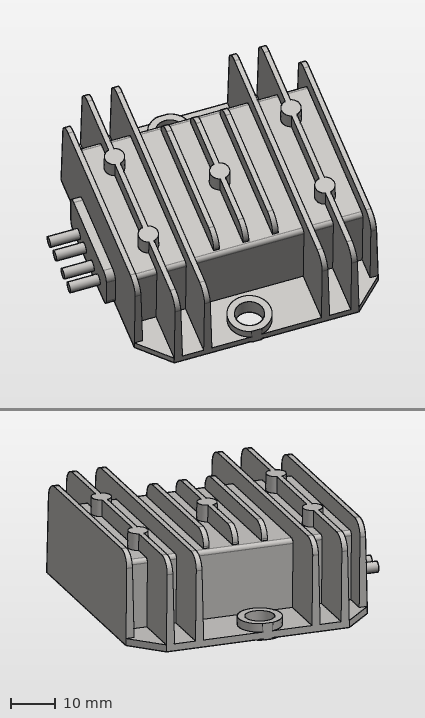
import cadquery as cq
import math

flange_length = 63.7
flange_width = 57.5
flange_thickness = 1.65
corner_chamfer = 7.0
boss_drop = 0.25
total_height = 21.9
overall_width = 66.6
draft_angle = 1.0

draft_slope = math.tan(math.radians(draft_angle))
flange_top = boss_drop + flange_thickness
front_face = -flange_width / 2

block_top = 18.0
block_base_length = 39.05
block_edge_radius = 1.0

fin_pitch = 6.9
fin_base_thickness = 2.0
fin_corner_radius = 3.5
end_fin_length = flange_length - 2 * corner_chamfer
short_fin_length = 35.6
short_fin_thickness = fin_base_thickness - 2 * (block_top - boss_drop) * draft_slope
end_fin_offset = (flange_width - fin_base_thickness) / 2

post_base_diameter = 4.65
post_offset_x = 11.45
post_offset_y = 3 * fin_pitch

boss_diameter = 10.05
boss_hole_diameter = 6.65
boss_offset_x = 26.9
boss_offset_y = -2.3
boss_top = 3.9
boss_centers = [(-boss_offset_x, boss_offset_y), (boss_offset_x, boss_offset_y)]

plate_length = 24.1
plate_height = 10.85
plate_thickness = 2.1
plate_corner_radius = 2.0
pin_diameter = 2.5
pin_length = overall_width - flange_width - plate_thickness
pin_height = boss_drop + 3.5
pin_inner_offset = 2.65
pin_outer_offset = 6.7


def make_flange():
    """Drafted octagonal plate: a rectangle with its four corners cut off."""
    half_length = flange_length / 2
    half_width = flange_width / 2
    cut_x = half_length - corner_chamfer
    cut_y = half_width - corner_chamfer
    return (
        cq.Workplane("XY", origin=(0, 0, boss_drop))
        .moveTo(-cut_x, -half_width)
        .lineTo(cut_x, -half_width)
        .lineTo(half_length, -cut_y)
        .lineTo(half_length, cut_y)
        .lineTo(cut_x, half_width)
        .lineTo(-cut_x, half_width)
        .lineTo(-half_length, cut_y)
        .lineTo(-half_length, -cut_y)
        .close()
        .extrude(flange_thickness, taper=draft_angle)
    )


def make_block():
    """Central block, drafted on its two long sides and rounded along the top."""
    half_base = block_base_length / 2
    half_top = half_base - (block_top - flange_top) * draft_slope
    return (
        cq.Workplane("XZ")
        .moveTo(-half_base, flange_top)
        .lineTo(half_base, flange_top)
        .lineTo(half_top, block_top)
        .lineTo(-half_top, block_top)
        .close()
        .extrude(end_fin_offset, both=True)
        .faces(">Z")
        .edges("|Y")
        .fillet(block_edge_radius)
    )


def make_fin(length, thickness, base_z, offset_y):
    """Drafted upright fin with rounded upper corners."""
    return (
        cq.Workplane("XY", origin=(0, offset_y, base_z))
        .rect(length, thickness)
        .extrude(total_height - base_z, taper=draft_angle)
        .faces(">Z")
        .edges("|Y")
        .fillet(fin_corner_radius)
    )


def make_tall_fin(length, offset_y):
    """Fin that rises from the flange underside, flush with the drafted flange ends."""
    return make_fin(length, fin_base_thickness, boss_drop, offset_y)


def make_short_fin(offset_y):
    """Fin that stands on the block only, as thick there as a tall fin."""
    return make_fin(short_fin_length, short_fin_thickness, block_top, offset_y)


def make_posts():
    corners = [(x, y) for x in (-post_offset_x, post_offset_x) for y in (-post_offset_y, post_offset_y)]
    return (
        cq.Workplane("XY", origin=(0, 0, block_top))
        .pushPoints(corners + [(0, 0)])
        .circle(post_base_diameter / 2)
        .extrude(total_height - block_top, taper=draft_angle)
    )


def make_mounting_bosses():
    """Round bosses cut flush with the ends of the flange."""
    bosses = (
        cq.Workplane("XY")
        .pushPoints(boss_centers)
        .circle(boss_diameter / 2)
        .extrude(boss_top)
    )
    underside_length = flange_length + 2 * boss_drop * draft_slope
    envelope = (
        cq.Workplane("XY")
        .rect(underside_length, flange_width)
        .extrude(boss_top, taper=draft_angle)
    )
    return bosses.intersect(envelope)


def make_mounting_holes():
    return (
        cq.Workplane("XY")
        .pushPoints(boss_centers)
        .circle(boss_hole_diameter / 2)
        .extrude(boss_top)
    )


def make_housing():
    housing = make_flange().union(make_block())
    for side in (-1, 1):
        housing = housing.union(make_tall_fin(end_fin_length, side * end_fin_offset))
        for step in (2, 3):
            housing = housing.union(make_tall_fin(flange_length, side * step * fin_pitch))
    for step in (-1, 0, 1):
        housing = housing.union(make_short_fin(step * fin_pitch))
    housing = housing.union(make_posts()).union(make_mounting_bosses())
    return housing.cut(make_mounting_holes())


def make_connector_plate():
    return (
        cq.Workplane("XZ", origin=(0, front_face, boss_drop + plate_height / 2))
        .rect(plate_length, plate_height)
        .extrude(plate_thickness)
        .edges("|Y")
        .fillet(plate_corner_radius)
    )


def make_pin(offset_x):
    return (
        cq.Workplane("XZ", origin=(offset_x, front_face - plate_thickness, pin_height))
        .circle(pin_diameter / 2)
        .extrude(pin_length)
    )


housing = make_housing()
connector_plate = make_connector_plate()
pin_offsets = (-pin_outer_offset, -pin_inner_offset, pin_inner_offset, pin_outer_offset)
pins = [make_pin(offset) for offset in pin_offsets]

result = cq.Compound.makeCompound([housing.val(), connector_plate.val(), *[pin.val() for pin in pins]])